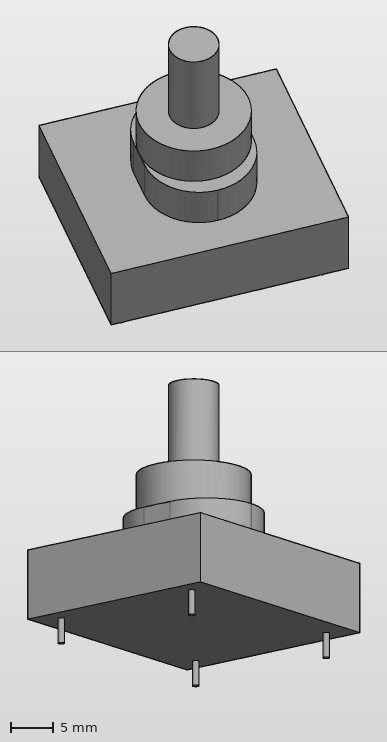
import cadquery as cq

HOUSING_X = 26.5
HOUSING_Y = 29.7
HOUSING_HEIGHT = 8.5

COLLAR_DIAMETER = 13.65
LONG_COLLAR_LENGTH = 17.6
LONG_COLLAR_CORNER_RADIUS = 6.8
COLLAR_HEIGHT = 5.0

SHAFT_DIAMETER = 6.0
SHAFT_LENGTH = 11.0

PIN_DIAMETER = 0.8
PIN_LENGTH = 3.0
PIN_SPACING_X = 20.0
PIN_SPACING_Y = 25.0


def make_housing():
    return cq.Workplane("XY").box(
        HOUSING_X, HOUSING_Y, HOUSING_HEIGHT, centered=(True, True, False)
    )


def add_neck(body):
    """Stack the long collar and then the round collar on the housing."""
    long_collar = (
        cq.Workplane("XY", origin=(0, 0, HOUSING_HEIGHT))
        .rect(LONG_COLLAR_LENGTH, COLLAR_DIAMETER)
        .extrude(COLLAR_HEIGHT)
        .edges("|Z")
        .fillet(LONG_COLLAR_CORNER_RADIUS)
    )
    return (
        body.union(long_collar)
        .faces(">Z").workplane(origin=(0, 0, 0))
        .circle(COLLAR_DIAMETER / 2)
        .extrude(COLLAR_HEIGHT)
    )


def add_shaft(body):
    return (
        body.faces(">Z").workplane(origin=(0, 0, 0))
        .circle(SHAFT_DIAMETER / 2)
        .extrude(SHAFT_LENGTH)
    )


def add_pins(body):
    """Extend the four pins downward from the underside of the housing."""
    pins = (
        cq.Workplane("XY")
        .rarray(PIN_SPACING_X, PIN_SPACING_Y, 2, 2)
        .circle(PIN_DIAMETER / 2)
        .extrude(-PIN_LENGTH)
    )
    return body.union(pins)


result = add_pins(add_shaft(add_neck(make_housing())))